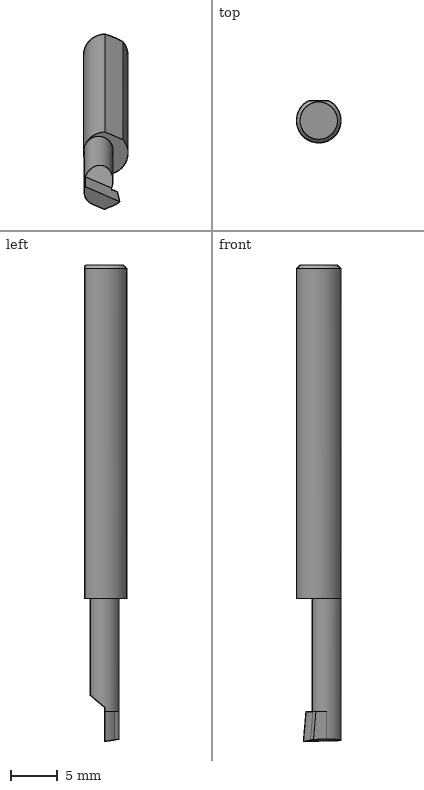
import cadquery as cq
import math

total_length = 50.8
shank_diameter = 4.7625
shank_length = 35.56
shank_flat_y = 2.13
shank_chamfer = 0.39

neck_diameter = 3.08
neck_length = total_length - shank_length
shank_radius = shank_diameter / 2
neck_radius = neck_diameter / 2
neck_x = shank_radius - neck_radius

rake_face_end_z = 3.65
rake_runout_angle = 40.0

head_height = 3.2
cutting_edge_x = -1.65
relief_end = (-0.91, -1.07)
relief_bulge = 0.08
heel_x = -0.58
side_clearance = 5.0

end_relief = 8.0
end_edge_angle = 1.5


def make_shank():
    shank = (
        cq.Workplane("XY", origin=(0, 0, neck_length))
        .circle(shank_radius)
        .extrude(shank_length)
        .faces(">Z")
        .chamfer(shank_chamfer)
    )
    flat_cutter = (
        cq.Workplane("XY", origin=(0, shank_radius, neck_length))
        .rect(shank_diameter, 2 * (shank_radius - shank_flat_y))
        .extrude(shank_length)
    )
    return shank.cut(flat_cutter)


def make_neck():
    neck = cq.Workplane("XY").center(neck_x, 0).circle(neck_radius).extrude(neck_length)
    runout_height = neck_radius * math.tan(math.radians(rake_runout_angle))
    rake_cutter = (
        cq.Workplane("YZ")
        .moveTo(0, 0)
        .lineTo(0, rake_face_end_z)
        .lineTo(neck_radius, rake_face_end_z + runout_height)
        .lineTo(neck_radius, 0)
        .close()
        .extrude(shank_diameter, both=True)
    )
    return neck.cut(rake_cutter)


def head_outline(z):
    """Closed head section at height z, with its side faces leaning towards +X."""
    lean = z * math.tan(math.radians(side_clearance))
    start = cq.Vector(cutting_edge_x + lean, 0, z)
    end = cq.Vector(relief_end[0] + lean, relief_end[1], z)
    chord = end - start
    outward = cq.Vector(chord.y, -chord.x, 0).normalized()
    middle = (start + end) * 0.5 + outward * relief_bulge
    heel = cq.Vector(heel_x + lean, -neck_radius, z)
    flat_end = cq.Vector(neck_x, -neck_radius, z)
    inner = cq.Vector(neck_x, 0, z)
    edges = [
        cq.Edge.makeThreePointArc(start, middle, end),
        cq.Edge.makeLine(end, heel),
        cq.Edge.makeLine(heel, flat_end),
        cq.Edge.makeLine(flat_end, inner),
        cq.Edge.makeLine(inner, start),
    ]
    return cq.Wire.assembleEdges(edges)


def make_head():
    return cq.Workplane(cq.Solid.makeLoft([head_outline(0), head_outline(head_height)], True))


def make_end_cutter():
    """Block below the end face, which rises from the tip towards -Y and +X."""
    size = 4 * shank_diameter
    tip = (cutting_edge_x, 0, 0)
    along_x = (cutting_edge_x + 1, 0, 0)
    along_y = (cutting_edge_x, 1, 0)
    return (
        cq.Workplane("XY")
        .rect(size, size)
        .extrude(-shank_diameter)
        .rotate(tip, along_x, -end_relief)
        .rotate(tip, along_y, -end_edge_angle)
    )


result = make_shank().union(make_neck()).union(make_head()).cut(make_end_cutter())